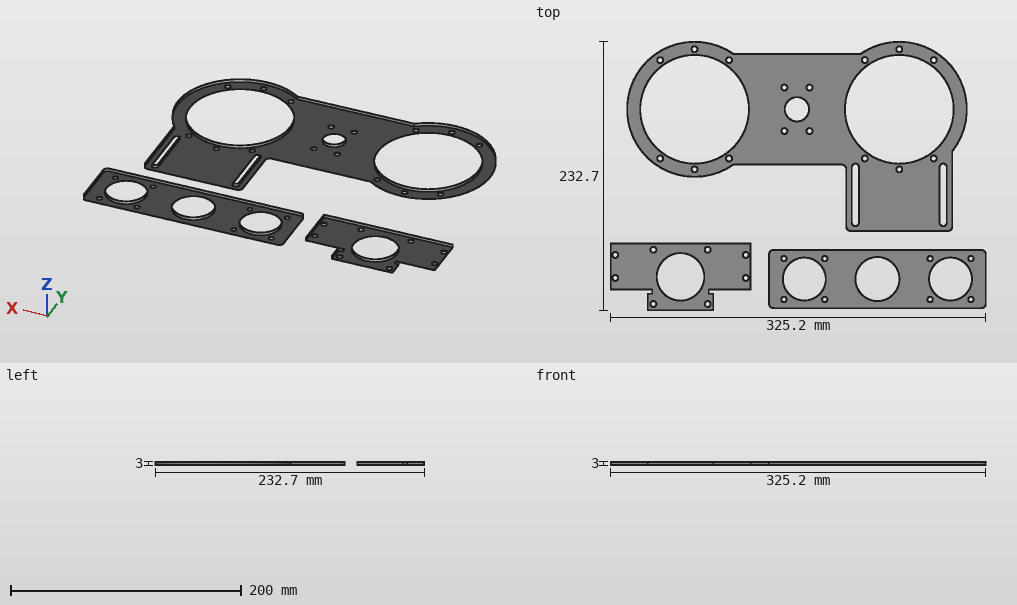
import cadquery as cq
import math

thickness = 3.0
screw_hole_diameter = 5.0

ring_spacing = 177.3
ring_outer_diameter = 117.2
ring_bore_diameter = 94.0
ring_bolt_circle_diameter = 104.0
ring_bolt_angles = (55, 90, 125, 235, 270, 305)
bar_height = 96.0

shaft_hole_diameter = 20.9
motor_bolt_circle_diameter = 43.5
motor_bolt_angles = (60, 120, 240, 300)

leg_width = 92.0
leg_bottom = -105.5
leg_corner_radius = 4.0
slot_spacing = 76.0
slot_width = 6.0
slot_length = 54.0
slot_center_y = -74.1

flange_center_x = -100.84
flange_width = 57.0
flange_height = 58.0
flange_bore_diameter = 41.0
flange_hole_spacing = 47.0
wing_span = 121.26
wing_height = 40.0
relief_depth = 4.0
relief_height = 3.5
wing_hole_spacing_x = 113.0
wing_hole_spacing_y = 20.0

overall_depth = 232.72
flange_bottom = ring_outer_diameter / 2 - overall_depth
flange_top = flange_bottom + flange_height
flange_center = (flange_center_x, flange_bottom + flange_height / 2)

strip_length = 188.0
strip_height = 50.6
strip_corner_radius = 4.0
strip_center = (69.69, -147.0)
strip_middle_bore_diameter = 38.0
strip_end_bore_diameter = 37.0
strip_end_bore_offset = 63.3
strip_bolt_circle_diameter = 50.0
strip_hole_diameter = 4.5
strip_bolt_angles = (45, 135, 225, 315)


def block(left, bottom, width, height):
    """A rectangle of sheet, placed by its lower left corner."""
    return cq.Workplane("XY").box(width, height, thickness, centered=False).translate((left, bottom, 0))


def drill(sheet, points, diameter):
    """Cut a through hole of one diameter at each point."""
    cutters = cq.Workplane("XY").pushPoints(points).circle(diameter / 2).extrude(thickness)
    return sheet.cut(cutters)


def bolt_circle(center, diameter, angles):
    """Points on a circle around a center, at angles in degrees from +X."""
    x, y = center
    radius = diameter / 2
    return [
        (x + radius * math.cos(math.radians(a)), y + radius * math.sin(math.radians(a)))
        for a in angles
    ]


def rectangle_corners(center, width, height):
    """The four corners of a rectangle around a center."""
    x, y = center
    return [(x + i * width / 2, y + j * height / 2) for i in (-1, 1) for j in (-1, 1)]


def make_main_plate():
    ring_centers = [(-ring_spacing / 2, 0), (ring_spacing / 2, 0)]
    leg_x = ring_spacing / 2
    leg_left = leg_x - leg_width / 2
    bar_bottom = -bar_height / 2

    plate = block(-ring_spacing / 2, bar_bottom, ring_spacing, bar_height)
    leg = block(leg_left, leg_bottom, leg_width, -leg_bottom)
    leg = leg.edges("|Z and <Y").fillet(leg_corner_radius)
    rings = cq.Workplane("XY").pushPoints(ring_centers).circle(ring_outer_diameter / 2).extrude(thickness)
    plate = plate.union(leg).union(rings)

    inner_corner = cq.selectors.NearestToPointSelector((leg_left, bar_bottom, thickness / 2))
    plate = plate.edges("|Z").edges(inner_corner).fillet(leg_corner_radius)

    plate = drill(plate, ring_centers, ring_bore_diameter)
    for center in ring_centers:
        ring_bolts = bolt_circle(center, ring_bolt_circle_diameter, ring_bolt_angles)
        plate = drill(plate, ring_bolts, screw_hole_diameter)

    plate = drill(plate, [(0, 0)], shaft_hole_diameter)
    motor_bolts = bolt_circle((0, 0), motor_bolt_circle_diameter, motor_bolt_angles)
    plate = drill(plate, motor_bolts, screw_hole_diameter)

    slots = (
        cq.Workplane("XY")
        .pushPoints([(leg_x + side * slot_spacing / 2, slot_center_y) for side in (-1, 1)])
        .slot2D(slot_length, slot_width, 90)
        .extrude(thickness)
    )
    return plate.cut(slots)


def make_spindle_bracket():
    x, y = flange_center
    wing_bottom = flange_top - wing_height
    flange = block(x - flange_width / 2, flange_bottom, flange_width, flange_height)
    wings = block(x - wing_span / 2, wing_bottom, wing_span, wing_height)
    bracket = flange.union(wings)

    relief_bottom = wing_bottom - relief_height
    for left in (x - flange_width / 2, x + flange_width / 2 - relief_depth):
        bracket = bracket.cut(block(left, relief_bottom, relief_depth, relief_height))

    bracket = drill(bracket, [flange_center], flange_bore_diameter)
    flange_holes = rectangle_corners(flange_center, flange_hole_spacing, flange_hole_spacing)
    wing_center = (x, flange_top - wing_height / 2)
    wing_holes = rectangle_corners(wing_center, wing_hole_spacing_x, wing_hole_spacing_y)
    return drill(bracket, flange_holes + wing_holes, screw_hole_diameter)


def make_strip():
    x, y = strip_center
    strip = block(x - strip_length / 2, y - strip_height / 2, strip_length, strip_height)
    strip = strip.edges("|Z").fillet(strip_corner_radius)
    strip = drill(strip, [strip_center], strip_middle_bore_diameter)
    for side in (-1, 1):
        end_center = (x + side * strip_end_bore_offset, y)
        strip = drill(strip, [end_center], strip_end_bore_diameter)
        end_bolts = bolt_circle(end_center, strip_bolt_circle_diameter, strip_bolt_angles)
        strip = drill(strip, end_bolts, strip_hole_diameter)
    return strip


main_plate = make_main_plate()
spindle_bracket = make_spindle_bracket()
strip = make_strip()

result = cq.Compound.makeCompound([main_plate.val(), spindle_bracket.val(), strip.val()])